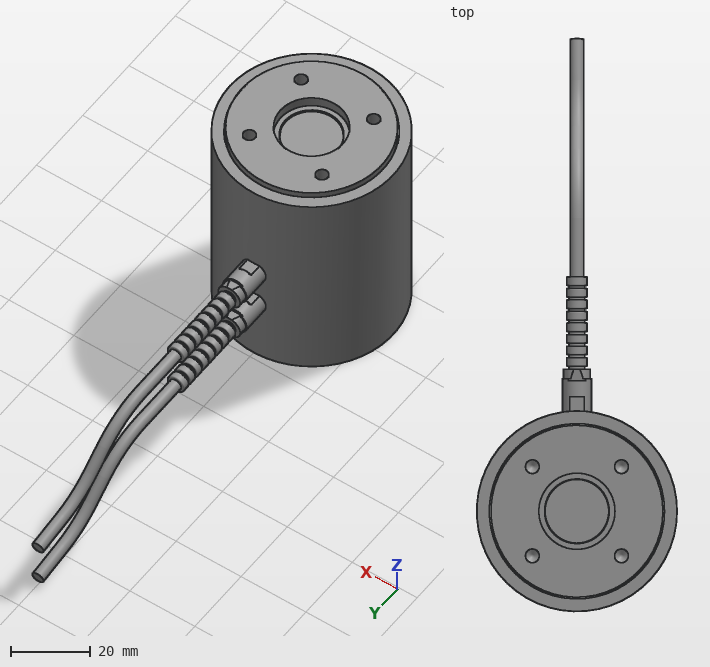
import cadquery as cq
import math

BODY_D = 50.3
BODY_H = 62.2
TOTAL_H = 63.5
BOSS_D = 43.1
BOSS_GAP_D = 44.0
BOSS_GAP_DEPTH = 1.5

RECESS_D = 19.1
RECESS_DEPTH = 3.0
PLUNGER_BORE_D = 16.2
PLUNGER_D = 16.0
PLUNGER_DROP = 0.5
PLUNGER_GAP_DEPTH = 1.5

MOUNT_HOLE_D = 3.5
MOUNT_HOLE_DEPTH = 7.2
MOUNT_CIRCLE_D = 31.6
MOUNT_ANGLES = (45, 135, 225, 315)
DRILL_POINT_ANGLE = 118.0

CABLE_HEIGHTS = (20.1, 31.8)
ROOT_Y = 21.5
NUT_D = 7.3
NUT_FLAT_START_Y = 28.8
NUT_ACROSS_FLATS = 6.3
NUT_END_Y = 33.2
COLLAR_D = 6.8
COLLAR_END_Y = 35.6
SLEEVE_D = 5.2
SLEEVE_CORE_D = 4.0
SLEEVE_END_Y = 58.8
RIB_COUNT = 8
GROOVE_WIDTH = 0.7
RIB_FILLET = 0.3

FLAT_HALF_H_AT_NUT = 2.95
FLAT_HALF_H_AT_END = 3.3
FLAT_INTO_NUT = 0.5

CABLE_D = 3.5
BEND_START_Y = 73.6
BEND_R = 25.9
STEEP_ANGLE = 39.0
TIP_ANGLE = 9.0
STEEP_LENGTH = 7.5
OVERALL_LENGTH = 143.8
TIP_END_Y = OVERALL_LENGTH - BODY_D / 2


def cylinder(diameter, z_bottom, z_top):
    return cq.Workplane("XY").workplane(offset=z_bottom).circle(diameter / 2).extrude(z_top - z_bottom)


def ring(outer_d, inner_d, z_bottom, z_top):
    return cylinder(outer_d, z_bottom, z_top).cut(cylinder(inner_d, z_bottom, z_top))


def make_mount_hole():
    """A drilled hole with a conical bottom, its mouth at the boss face."""
    radius = MOUNT_HOLE_D / 2
    point_h = radius / math.tan(math.radians(DRILL_POINT_ANGLE / 2))
    profile = [
        (0, TOTAL_H),
        (radius, TOTAL_H),
        (radius, TOTAL_H - MOUNT_HOLE_DEPTH),
        (0, TOTAL_H - MOUNT_HOLE_DEPTH - point_h),
    ]
    return cq.Workplane("XZ").polyline(profile).close().revolve(360, (0, 0), (0, 1))


def make_body():
    recess_floor = TOTAL_H - RECESS_DEPTH
    body = cylinder(BODY_D, 0, BODY_H)
    body = body.cut(ring(BOSS_GAP_D, BOSS_D, BODY_H - BOSS_GAP_DEPTH, BODY_H))
    body = body.union(cylinder(BOSS_D, BODY_H, TOTAL_H))
    body = body.cut(cylinder(RECESS_D, recess_floor, TOTAL_H))
    body = body.cut(cylinder(PLUNGER_BORE_D, recess_floor - PLUNGER_DROP, recess_floor))
    body = body.cut(ring(PLUNGER_BORE_D, PLUNGER_D, recess_floor - PLUNGER_GAP_DEPTH, recess_floor))
    mount_hole = make_mount_hole().translate((MOUNT_CIRCLE_D / 2, 0, 0))
    for angle in MOUNT_ANGLES:
        body = body.cut(mount_hole.rotate((0, 0, 0), (0, 0, 1), angle))
    return body


def rod(diameter, y_start, y_end):
    """A cylinder along +Y on the cable axis."""
    return cq.Workplane("XZ", origin=(0, y_start, 0)).circle(diameter / 2).extrude(y_start - y_end)


def make_nut():
    nut = rod(NUT_D, ROOT_Y, NUT_END_Y)
    flat_length = NUT_FLAT_START_Y - ROOT_Y
    slab_h = NUT_D - NUT_ACROSS_FLATS
    for side in (1, -1):
        slab = cq.Workplane("XY").box(NUT_D, flat_length, slab_h).translate(
            (0, ROOT_Y + flat_length / 2, side * (NUT_ACROSS_FLATS + slab_h) / 2)
        )
        nut = nut.cut(slab)
    return nut


def make_collar_flat():
    """The wedge removed from the top of the collar to leave a sloping flat."""
    start_y = NUT_END_Y - FLAT_INTO_NUT
    profile = [
        (start_y, FLAT_HALF_H_AT_NUT),
        (COLLAR_END_Y, FLAT_HALF_H_AT_END),
        (COLLAR_END_Y, NUT_D),
        (start_y, NUT_D),
    ]
    return cq.Workplane("YZ").polyline(profile).close().extrude(NUT_D / 2, both=True)


def make_sleeve():
    """Strain relief: a row of ribs with rounded edges on a slimmer core."""
    pitch = (SLEEVE_END_Y - COLLAR_END_Y) / RIB_COUNT
    sleeve = rod(SLEEVE_CORE_D, COLLAR_END_Y, SLEEVE_END_Y)
    for index in range(RIB_COUNT):
        rib_end = SLEEVE_END_Y - index * pitch
        rib_start = rib_end - pitch + GROOVE_WIDTH
        sleeve = sleeve.union(rod(SLEEVE_D, rib_start, rib_end).edges("%CIRCLE").fillet(RIB_FILLET))
    return sleeve


def make_cable():
    """Round cable: straight, bent down, straight slope, bent back, straight tip."""
    steep = math.radians(STEEP_ANGLE)
    tip = math.radians(TIP_ANGLE)

    def bend_down(angle):
        return (BEND_START_Y + BEND_R * math.sin(angle), BEND_R * (math.cos(angle) - 1))

    slope_start = bend_down(steep)
    slope_end = (
        slope_start[0] + STEEP_LENGTH * math.cos(steep),
        slope_start[1] - STEEP_LENGTH * math.sin(steep),
    )

    def bend_back(angle):
        return (
            slope_end[0] + BEND_R * (math.sin(steep) - math.sin(angle)),
            slope_end[1] - BEND_R * (math.cos(angle) - math.cos(steep)),
        )

    tip_start = bend_back(tip)
    tip_run = TIP_END_Y - CABLE_D / 2 * math.sin(tip) - tip_start[0]
    tip_end = (tip_start[0] + tip_run, tip_start[1] - tip_run * math.tan(tip))
    path = (
        cq.Workplane("YZ")
        .moveTo(SLEEVE_END_Y, 0)
        .lineTo(BEND_START_Y, 0)
        .threePointArc(bend_down(steep / 2), slope_start)
        .lineTo(*slope_end)
        .threePointArc(bend_back((steep + tip) / 2), tip_start)
        .lineTo(*tip_end)
    )
    return cq.Workplane("XZ", origin=(0, SLEEVE_END_Y, 0)).circle(CABLE_D / 2).sweep(path)


def make_cable_exit():
    exit_part = make_nut().union(rod(COLLAR_D, NUT_END_Y, COLLAR_END_Y))
    flat = make_collar_flat()
    exit_part = exit_part.cut(flat).cut(flat.mirror("XY"))
    return exit_part.union(make_sleeve()).union(make_cable())


result = make_body()
cable_exit = make_cable_exit()
for height in CABLE_HEIGHTS:
    result = result.union(cable_exit.translate((0, 0, height)))